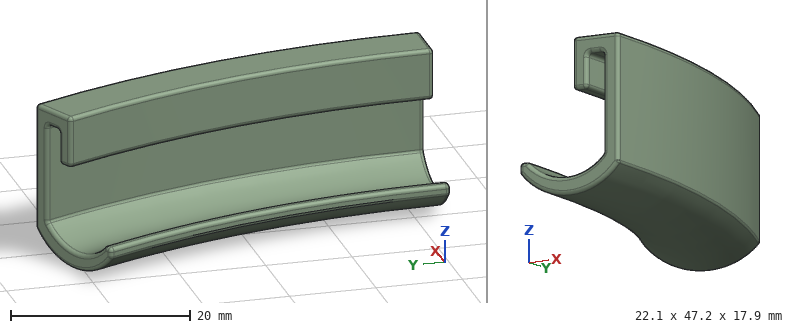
import cadquery as cq
import math

outer_radius = 112.0
sweep_angle = 25

width = 12.95
height = 17.85
wall = 2.0
lip_depth = 6.0
slot_width = 2.1
lip_inset = wall + slot_width
hook_width = 6.0
rim_depth = 13.6
side_depth = 14.75
rim_width = 1.05
trough_floor = 2.08
trough_bottom = height - trough_floor
edge_radius = 0.45


def station(inset, depth):
    """Point on the radial section plane, inset from the outer wall and below the top."""
    return (outer_radius - inset, -depth)


def section():
    """J-shaped wall with a hooked top and a round trough along the bottom."""
    trough_middle = (wall + width - rim_width) / 2
    return (
        cq.Workplane("XZ")
        .moveTo(*station(0, 0))
        .lineTo(*station(0, side_depth))
        .threePointArc(station(width / 2, height), station(width, side_depth))
        .lineTo(*station(width, rim_depth))
        .lineTo(*station(width - rim_width, rim_depth))
        .threePointArc(station(trough_middle, trough_bottom), station(wall, rim_depth))
        .lineTo(*station(wall, wall))
        .lineTo(*station(lip_inset, wall))
        .lineTo(*station(lip_inset, lip_depth))
        .lineTo(*station(hook_width, lip_depth))
        .lineTo(*station(hook_width, 0))
        .close()
    )


def swept_body():
    """Revolve the section, starting from the plane Y = 0."""
    return section().revolve(sweep_angle, (0, 0, 0), (0, 1, 0))


def long_edge_at(inset, depth):
    """Selector for the swept edge that passes through one section corner."""
    half_angle = math.radians(sweep_angle / 2)
    radius, z = station(inset, depth)
    centroid_radius = radius * math.sin(half_angle) / half_angle
    centroid = (centroid_radius * math.cos(half_angle), centroid_radius * math.sin(half_angle), z)
    return cq.selectors.NearestToPointSelector(centroid)


def round_inside_corners(body):
    """Round the top corners of the hook slot and the foot of the wall."""
    for inset, depth in [(wall, wall), (lip_inset, wall), (wall, rim_depth)]:
        body = body.edges(long_edge_at(inset, depth)).fillet(edge_radius)
    return body


def round_outer_edges(body):
    """Round the two ends and every convex long edge."""
    long_corners = [
        (0, 0),
        (hook_width, 0),
        (hook_width, lip_depth),
        (lip_inset, lip_depth),
        (0, side_depth),
        (width, side_depth),
        (width, rim_depth),
        (width - rim_width, rim_depth),
    ]
    end_angle = math.radians(sweep_angle)
    end_normal = cq.Vector(-math.sin(end_angle), math.cos(end_angle), 0)
    edges = body.faces("<Y").edges()
    edges = edges.add(body.faces(cq.selectors.ParallelDirSelector(end_normal)).edges())
    for inset, depth in long_corners:
        edges = edges.add(body.edges(long_edge_at(inset, depth)))
    return edges.fillet(edge_radius)


result = round_outer_edges(round_inside_corners(swept_body()))